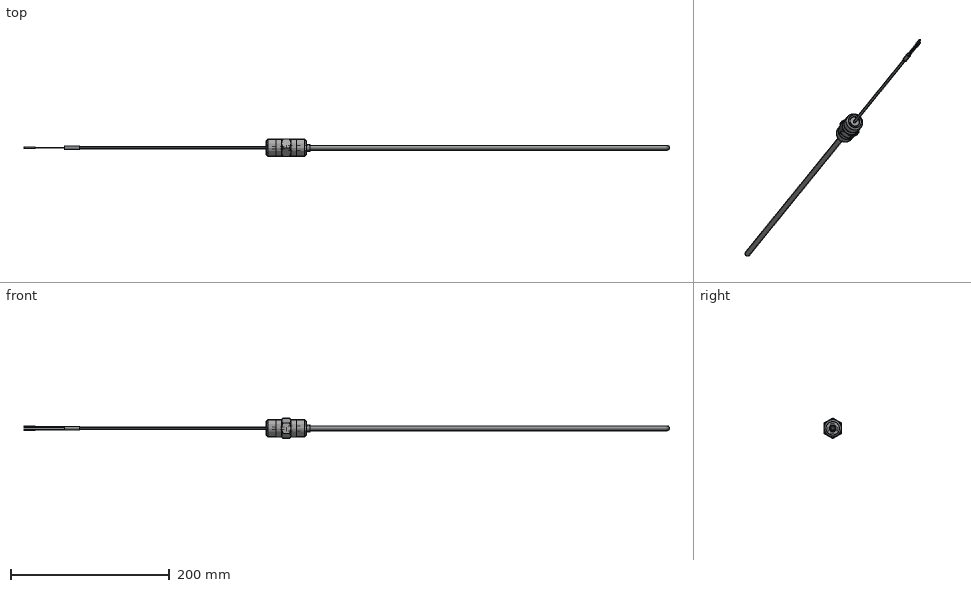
import cadquery as cq
import math

INCH = 25.4

total_length = 32 * INCH
gland_start = 12 * INCH
gland_length = 2 * INCH
gland_end = gland_start + gland_length

hex_across_flats = 7 / 8 * INCH
hex_across_corners = hex_across_flats / math.cos(math.radians(30))
hex_length = 11.5
hex_chamfer = (hex_across_corners - hex_across_flats) / 2
cap_diameter = 21.6
cap_chamfer = 2.4
cap_length = 12.2
collar_diameter = 22.0
entry_diameter = 12.7
entry_depth = 2.0
neck_diameter = 8.8
neck_length = 4.5

sheath_diameter = 1 / 4 * INCH
sheath_start = gland_start + gland_length / 2
tip_radius = sheath_diameter / 2
cable_diameter = 3.0
cable_sleeve_diameter = 4.7
cable_sleeve_start = 2 * INCH
cable_sleeve_end = 70.0
wire_diameter = 1.2
wire_pitch = 3.4
ferrule_diameter = 2.0
ferrule_length = 13.5


def bar(start, end, diameter, z=0.0):
    """Round bar parallel to the X axis."""
    return cq.Workplane("YZ", origin=(start, 0, z)).circle(diameter / 2).extrude(end - start)


def make_hexagon():
    """Hexagon with flats facing +Y and -Y, its corners turned down to the flats at both ends."""
    start = gland_start + (gland_length - hex_length) / 2
    hexagon = (
        cq.Workplane("YZ", origin=(start, 0, 0))
        .transformed(rotate=(0, 0, 90))
        .polygon(6, hex_across_corners)
        .extrude(hex_length)
    )
    turned = bar(start, start + hex_length, hex_across_corners).edges().chamfer(hex_chamfer)
    return hexagon.intersect(turned)


def make_gland():
    gland = bar(gland_start, gland_end, cap_diameter).edges().chamfer(cap_chamfer)
    collars = bar(gland_start + cap_length, gland_end - cap_length, collar_diameter)
    neck = bar(gland_end, gland_end + neck_length, neck_diameter)
    gland = gland.union(collars).union(make_hexagon()).union(neck)
    entry = bar(gland_start, gland_start + entry_depth, entry_diameter)
    cable_hole = bar(gland_start, sheath_start, cable_diameter)
    sheath_hole = bar(sheath_start, gland_end + neck_length, sheath_diameter)
    return gland.cut(entry).cut(cable_hole).cut(sheath_hole)


def make_lead(z):
    """Lead wire with a ferrule crimped on its free end."""
    wire = bar(0, cable_sleeve_start, wire_diameter, z)
    ferrule = bar(0, ferrule_length, ferrule_diameter, z)
    return wire.union(ferrule)


def make_probe():
    tip_start = total_length - tip_radius
    tip = cq.Workplane("XY", origin=(tip_start, 0, 0)).sphere(tip_radius, direct=(1, 0, 0))
    sheath = bar(sheath_start, tip_start, sheath_diameter).union(tip)
    cable = bar(cable_sleeve_end, sheath_start, cable_diameter)
    cable_sleeve = bar(cable_sleeve_start, cable_sleeve_end, cable_sleeve_diameter)
    probe = sheath.union(cable).union(cable_sleeve)
    for side in (-1, 1):
        probe = probe.union(make_lead(side * wire_pitch / 2))
    return probe


gland = make_gland()
probe = make_probe()
result = cq.Compound.makeCompound([gland.val(), probe.val()])